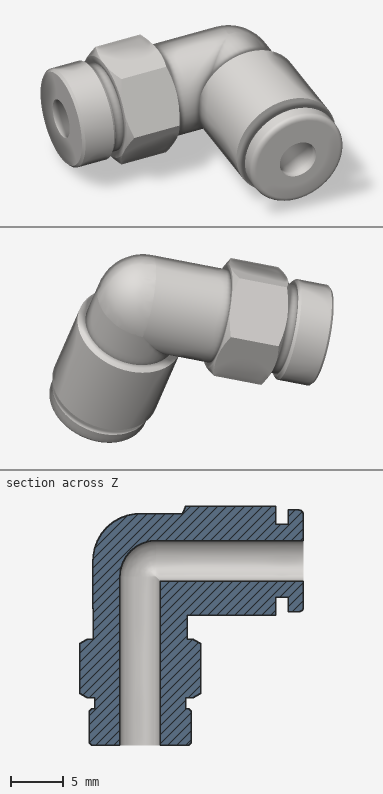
import cadquery as cq
import math

body_diameter = 9.0
bore_diameter = 3.8
bore_bend_radius = 1.5

collar_diameter = 10.4
collar_start = 4.0
collar_end = 12.85
collar_taper_length = 0.3
sleeve_diameter = 7.0
flange_diameter = 9.7
flange_start = 14.0
flange_end = 15.5
flange_fillet = 0.5

hex_sides = 6
hex_across_flats = 10.0
hex_start = 7.4
hex_end = 13.0
hex_chamfer_angle = 30.0
groove_diameter = 8.65
thread_diameter = 9.73
thread_start = 14.0
thread_end = 17.5
thread_chamfer = 0.25


def rod_x(diameter, start, end):
    """Cylinder on the X axis between two distances from the origin."""
    return cq.Workplane("YZ", origin=(start, 0, 0)).circle(diameter / 2).extrude(end - start)


def rod_y(diameter, start, end):
    """Cylinder on the -Y axis between two distances from the origin."""
    return cq.Workplane("XZ", origin=(0, -start, 0)).circle(diameter / 2).extrude(end - start)


def elbow_body():
    """Two round arms with a spherical corner, reaching into the collar and the hexagon."""
    corner = cq.Workplane("XY").sphere(body_diameter / 2)
    return corner.union(rod_x(body_diameter, 0, collar_end)).union(rod_y(body_diameter, 0, hex_end))


def tube_arm():
    """Tapered collar, narrow sleeve and rounded release flange."""
    collar = rod_x(collar_diameter, collar_start, collar_end)
    body_radius = body_diameter / 2
    collar_radius = collar_diameter / 2
    taper = (
        cq.Workplane("XY")
        .moveTo(collar_start, body_radius)
        .lineTo(collar_start + collar_taper_length, collar_radius)
        .lineTo(collar_start, collar_radius)
        .close()
        .revolve(360, (0, 0, 0), (1, 0, 0))
    )
    sleeve = rod_x(sleeve_diameter, collar_end, flange_start)
    flange = rod_x(flange_diameter, flange_start, flange_end).faces(">X").edges().fillet(flange_fillet)
    return collar.cut(taper).union(sleeve).union(flange)


def hexagon():
    """Hexagon with corners on the X axis and conical chamfers at both ends."""
    flat_radius = hex_across_flats / 2
    corner_radius = flat_radius / math.cos(math.pi / hex_sides)
    chamfer_height = (corner_radius - flat_radius) * math.tan(math.radians(hex_chamfer_angle))
    prism = (
        cq.Workplane("XZ", origin=(0, -hex_start, 0))
        .polygon(hex_sides, 2 * corner_radius)
        .extrude(hex_end - hex_start)
    )
    envelope = (
        cq.Workplane("XY")
        .moveTo(0, -hex_start)
        .lineTo(flat_radius, -hex_start)
        .lineTo(corner_radius, -hex_start - chamfer_height)
        .lineTo(corner_radius, -hex_end + chamfer_height)
        .lineTo(flat_radius, -hex_end)
        .lineTo(0, -hex_end)
        .close()
        .revolve(360, (0, 0, 0), (0, 1, 0))
    )
    return prism.intersect(envelope)


def thread_end_piece():
    """Relief groove and the plain cylinder that stands for the thread, chamfered at both ends."""
    groove = rod_y(groove_diameter, hex_end, thread_start)
    thread = rod_y(thread_diameter, thread_start, thread_end).faces("<Y or >Y").edges().chamfer(thread_chamfer)
    return groove.union(thread)


def bore():
    """Round passage through both arms, joined by a quarter-turn bend."""
    bore_radius = bore_diameter / 2
    half_section_height = math.sqrt(bore_radius**2 - bore_bend_radius**2)
    bend = (
        cq.Workplane("XZ", origin=(0, -bore_bend_radius, 0))
        .moveTo(bore_bend_radius, half_section_height)
        .threePointArc((-bore_radius, 0), (bore_bend_radius, -half_section_height))
        .close()
        .revolve(90, (bore_bend_radius, 0, 0), (bore_bend_radius, -1, 0))
    )
    tube_passage = rod_x(bore_diameter, bore_bend_radius, flange_end)
    thread_passage = rod_y(bore_diameter, bore_bend_radius, thread_end)
    return bend.union(tube_passage).union(thread_passage)


outside = elbow_body().union(tube_arm()).union(hexagon()).union(thread_end_piece())

result = outside.cut(bore())